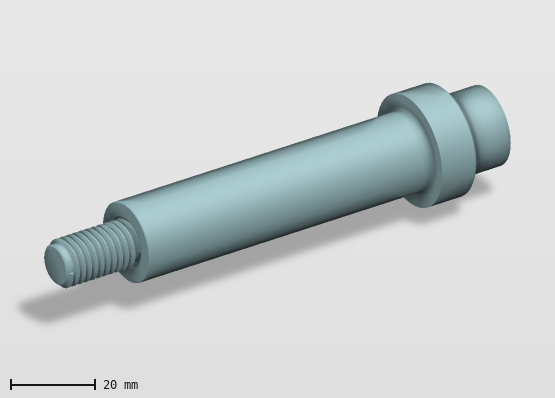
import cadquery as cq
import math


overall_length = 122.0
head_length = 12.0
stud_length = 20.0
sleeve_length = overall_length - head_length - stud_length

barrel_diameter = 20.0
barrel_chamfer = 0.18
collar_diameter = 28.0
collar_length = 10.0
collar_chamfer = 0.6
collar_fillet = 1.0
bore_diameter = 12.8

head_diameter = barrel_diameter
shank_diameter = bore_diameter
recess_depth = 1.2
core_diameter = 10.0
tip_chamfer = 0.4

thread_diameter = 12.0
thread_turns = 11
thread_length = 19.2
thread_pitch = thread_length / thread_turns
thread_start = -0.4
crest_width = thread_pitch / 8
flank_angle = 30.0
root_overlap = 0.1


def turn_about_y(section):
    """Revolve a closed half section in the XY plane about the Y axis."""
    return section.revolve(360, (0, 0, 0), (0, 1, 0))


def make_sleeve():
    """Bored barrel with a collar at the head end, filleted into the barrel."""
    bore_radius = bore_diameter / 2
    barrel_radius = barrel_diameter / 2
    collar_radius = collar_diameter / 2
    section = (
        cq.Workplane("XY")
        .moveTo(bore_radius, 0)
        .lineTo(collar_radius - collar_chamfer, 0)
        .lineTo(collar_radius, -collar_chamfer)
        .lineTo(collar_radius, -collar_length)
        .lineTo(barrel_radius + collar_fillet, -collar_length)
        .radiusArc((barrel_radius, -collar_length - collar_fillet), -collar_fillet)
        .lineTo(barrel_radius, -sleeve_length + barrel_chamfer)
        .lineTo(barrel_radius - barrel_chamfer, -sleeve_length)
        .lineTo(bore_radius, -sleeve_length)
        .close()
    )
    return turn_about_y(section)


def make_thread():
    """Right-handed helical ridge with a flat crest, running toward -Y from its start at +X."""
    root_radius = core_diameter / 2 - root_overlap
    crest_radius = thread_diameter / 2
    half_crest = crest_width / 2
    half_root = half_crest + (crest_radius - root_radius) * math.tan(math.radians(flank_angle))
    helix = cq.Wire.makeHelix(thread_pitch, thread_length, root_radius)
    profile = (
        cq.Workplane("XZ")
        .moveTo(root_radius, -half_root)
        .lineTo(crest_radius, -half_crest)
        .lineTo(crest_radius, half_crest)
        .lineTo(root_radius, half_root)
        .close()
    )
    ridge = profile.sweep(cq.Workplane(helix), isFrenet=True)
    ridge_along_y = ridge.rotate((0, 0, 0), (1, 0, 0), 90)
    return ridge_along_y.translate((0, -sleeve_length - thread_start, 0))


def make_pin():
    """Head, shank inside the sleeve, and threaded stud beyond it."""
    head_radius = head_diameter / 2
    shank_radius = shank_diameter / 2
    core_radius = core_diameter / 2
    shank_end = -sleeve_length + recess_depth
    tip = -sleeve_length - stud_length
    section = (
        cq.Workplane("XY")
        .moveTo(0, head_length)
        .lineTo(head_radius, head_length)
        .lineTo(head_radius, 0)
        .lineTo(shank_radius, 0)
        .lineTo(shank_radius, shank_end)
        .lineTo(core_radius, shank_end)
        .lineTo(core_radius, tip + tip_chamfer)
        .lineTo(core_radius - tip_chamfer, tip)
        .lineTo(0, tip)
        .close()
    )
    return turn_about_y(section).union(make_thread(), clean=False)


sleeve = make_sleeve()
pin = make_pin()
result = cq.Compound.makeCompound([sleeve.val(), *pin.solids().vals()])